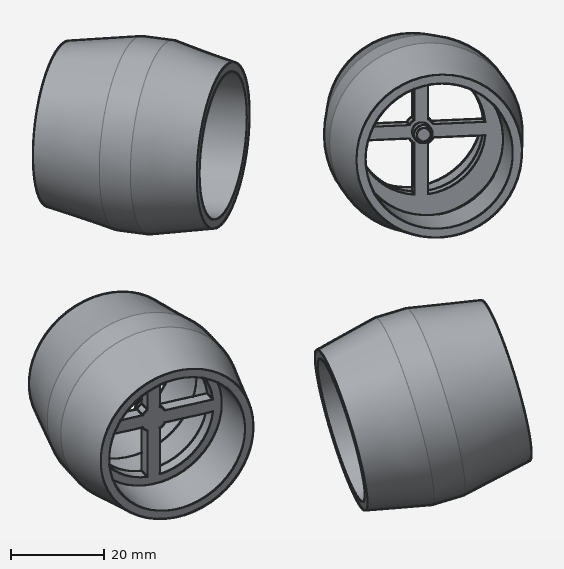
import cadquery as cq

band_diameter = 42.0
end_diameter = 36.0
bore_diameter = 32.0
opening_diameter = 28.0
front_taper_length = 16.0
band_length = 7.0
rear_taper_length = 14.0

bore_depth = 12.0
chamber_diameter = 38.0

web_thickness = 3.0
spoke_width = 3.0
hub_diameter = 6.0

pin_diameter = 4.0
pin_length = 3.0
pin_chamfer = 0.5

total_length = front_taper_length + band_length + rear_taper_length
band_end = front_taper_length + band_length
web_end = total_length - bore_depth
web_start = web_end - web_thickness


def cylinder_along_x(start, length, diameter):
    return cq.Workplane("YZ").workplane(offset=start).circle(diameter / 2).extrude(length)


def revolve_about_x(profile):
    return cq.Workplane("XY").polyline(profile).close().revolve(360, (0, 0, 0), (1, 0, 0))


def make_barrel():
    """Solid barrel with a cylindrical band between two tapers."""
    profile = [
        (0, 0),
        (0, end_diameter / 2),
        (front_taper_length, band_diameter / 2),
        (band_end, band_diameter / 2),
        (total_length, end_diameter / 2),
        (total_length, 0),
    ]
    return revolve_about_x(profile)


def make_cavity():
    """Front bore flaring into the chamber, and the rear bore beyond the web."""
    bore_radius = bore_diameter / 2
    chamber_radius = chamber_diameter / 2
    profile = [
        (0, 0),
        (0, bore_radius),
        (bore_depth, bore_radius),
        (front_taper_length, chamber_radius),
        (web_start, chamber_radius),
        (web_start, bore_radius),
        (total_length, bore_radius),
        (total_length, 0),
    ]
    return revolve_about_x(profile)


def make_web():
    """Rim inside the bore, with a hub carried on four spokes."""
    web = cylinder_along_x(web_start, web_thickness, bore_diameter)
    web = web.cut(cylinder_along_x(web_start, web_thickness, opening_diameter))
    web_center = web_start + web_thickness / 2
    spoke_span = (opening_diameter + bore_diameter) / 2
    for width, height in [(spoke_width, spoke_span), (spoke_span, spoke_width)]:
        spoke_pair = cq.Workplane("XY").box(web_thickness, width, height)
        web = web.union(spoke_pair.translate((web_center, 0, 0)))
    return web.union(cylinder_along_x(web_start, web_thickness, hub_diameter))


def make_pin():
    """Chamfered pin standing on the front of the hub."""
    pin = cylinder_along_x(web_start - pin_length, pin_length, pin_diameter)
    return pin.faces("<X").chamfer(pin_chamfer)


sleeve = make_barrel().cut(make_cavity())
result = sleeve.union(make_web()).union(make_pin())